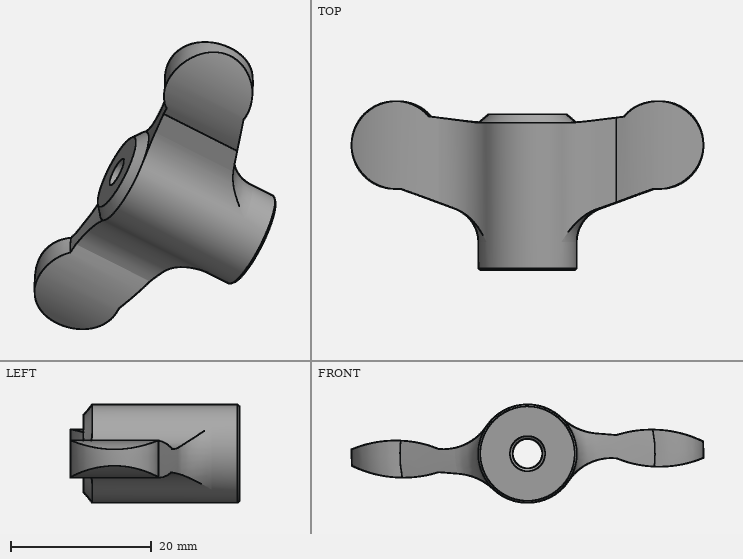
import cadquery as cq
import math

hub_radius = 7.0
hub_length = 22.15
back_chamfer_length = 1.25
back_face_radius = 5.5
front_chamfer = 0.3
bore_radius = 4.15 / 2
bore_mouth_radius = 2.5
hub_shoulder_y = hub_length - back_chamfer_length

span = 50.0
depth = 24.0
lobe_radius = 6.25
lobe_x = span / 2 - lobe_radius
lobe_y = depth - lobe_radius
back_edge_x = 14.0
back_edge_y = lobe_y + math.sqrt(lobe_radius**2 - (lobe_x - back_edge_x) ** 2)
front_edge_x = 18.1
front_edge_y = lobe_y - math.sqrt(lobe_radius**2 - (lobe_x - front_edge_x) ** 2)
front_edge_angle = math.radians(20)
root_radius = 5.0
root_end_x = hub_radius + root_radius * (1 - math.sin(front_edge_angle))
root_end_y = front_edge_y - (front_edge_x - root_end_x) * math.tan(front_edge_angle)
root_start_y = root_end_y - root_radius * math.cos(front_edge_angle)

upper_tangent_angle = math.radians(46.7)
lower_tangent_angle = math.radians(-33.9)
upper_fillet_end = (9.55, 2.9)
upper_neck = (12.6, 2.65)
upper_crest = (18.0, 3.425)
upper_tip = (span / 2, 1.7)
lower_tip = (span / 2, -0.6)
lower_crest = (18.75, -1.875)
lower_neck = (12.6, -0.675)


def hub_point(angle):
    return (hub_radius * math.cos(angle), hub_radius * math.sin(angle))


def hub_tangent(angle):
    """Clockwise tangent direction of the hub circle."""
    return cq.Vector(math.sin(angle), -math.cos(angle), 0)


def make_hub():
    half_section = [
        (0, 0),
        (hub_radius - front_chamfer, 0),
        (hub_radius, front_chamfer),
        (hub_radius, hub_shoulder_y),
        (back_face_radius, hub_length),
        (0, hub_length),
    ]
    return cq.Workplane("XY").polyline(half_section).close().revolve(360, (0, 0), (0, 1))


def make_bore():
    mouth_depth = bore_mouth_radius - bore_radius
    half_section = [
        (0, 0),
        (bore_mouth_radius, 0),
        (bore_radius, mouth_depth),
        (bore_radius, hub_length),
        (0, hub_length),
    ]
    return cq.Workplane("XY").polyline(half_section).close().revolve(360, (0, 0), (0, 1))


def make_wing():
    root_mid_angle = (math.pi + math.pi / 2 + front_edge_angle) / 2
    root_mid = (
        hub_radius + root_radius * (1 + math.cos(root_mid_angle)),
        root_start_y + root_radius * math.sin(root_mid_angle),
    )
    outline = (
        cq.Workplane("XY")
        .moveTo(0, root_start_y)
        .lineTo(hub_radius, root_start_y)
        .threePointArc(root_mid, (root_end_x, root_end_y))
        .lineTo(front_edge_x, front_edge_y)
        .threePointArc((lobe_x + lobe_radius, lobe_y), (back_edge_x, back_edge_y))
        .lineTo(hub_radius, hub_shoulder_y)
        .lineTo(0, hub_shoulder_y)
        .close()
        .revolve(360, (0, 0), (0, 1))
    )

    upper_start = hub_point(upper_tangent_angle)
    lower_end = hub_point(lower_tangent_angle)
    upper_fillet = cq.Edge.makeTangentArc(
        cq.Vector(*upper_start), hub_tangent(upper_tangent_angle), cq.Vector(*upper_fillet_end)
    )
    lower_fillet = cq.Edge.makeTangentArc(
        cq.Vector(*lower_end), hub_tangent(lower_tangent_angle) * -1, cq.Vector(*lower_neck)
    )
    upper_mid = upper_fillet.positionAt(0.5).toTuple()[:2]
    lower_mid = lower_fillet.positionAt(0.5).toTuple()[:2]
    thickness = (
        cq.Workplane("XZ")
        .lineTo(*upper_start)
        .threePointArc(upper_mid, upper_fillet_end)
        .lineTo(*upper_neck)
        .threePointArc(upper_crest, upper_tip)
        .lineTo(*lower_tip)
        .threePointArc(lower_crest, lower_neck)
        .threePointArc(lower_mid, lower_end)
        .close()
        .extrude(-depth)
    )
    return outline.intersect(thickness)


wing = make_wing()
opposite_wing = wing.rotate((0, 0, 0), (0, 1, 0), 180)
result = make_hub().union(wing).union(opposite_wing).cut(make_bore())